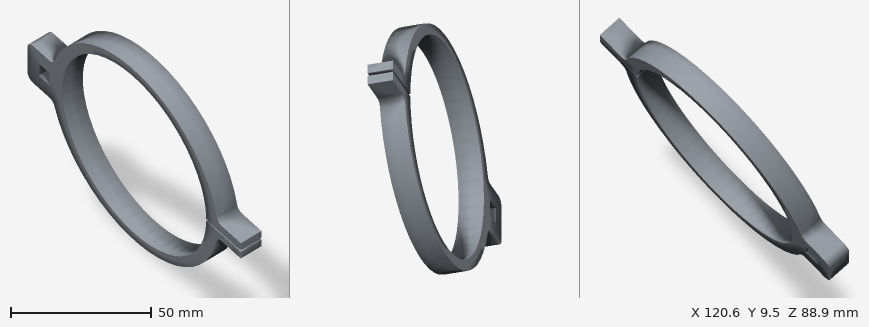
import cadquery as cq

length = 120.6
width = 9.5
ring_height = 88.9
arc_center_offset = 3.0
inner_radius = 40.8
block_height = 19.3
block_corner_radius = 3.0
block_root_radius = 3.0
hole_size = 6.3
hole_center_x = -50.9
tabs_height = 8.0
tab_root_radius = 3.0
slit_height = 1.1

end_x = length / 2
outer_arc_radius = ring_height / 2 + arc_center_offset


def plate(x_start, x_end, height):
    """Plate centred on Y and Z, spanning the given X range."""
    return cq.Workplane("XY").box(x_end - x_start, width, height).translate(((x_start + x_end) / 2, 0, 0))


def cylinder(radius):
    """Cylinder along Y through the ring centre."""
    return cq.Workplane("XZ").circle(radius).extrude(width / 2, both=True)


def root_edges(body, side, height):
    """Concave edges where a plate of this height meets the ring; side is -1 or 1."""
    root_x = side * (outer_arc_radius**2 - (height / 2 + arc_center_offset) ** 2) ** 0.5
    reach = 0.1
    selector = cq.selectors.BoxSelector(
        (root_x - reach, -width, -height), (root_x + reach, width, height)
    )
    return body.edges("|Y").edges(selector)


block = plate(-end_x, 0, block_height).edges("|Y and <X").fillet(block_corner_radius)
tabs = plate(0, end_x, tabs_height)

upper_arc = cylinder(outer_arc_radius).translate((0, 0, -arc_center_offset))
lower_arc = cylinder(outer_arc_radius).translate((0, 0, arc_center_offset))
body = upper_arc.intersect(lower_arc).union(block).union(tabs)
body = root_edges(body, -1, block_height).fillet(block_root_radius)
body = root_edges(body, 1, tabs_height).fillet(tab_root_radius)

body = body.cut(cylinder(inner_radius))
half_hole = hole_size / 2
body = body.cut(plate(hole_center_x - half_hole, hole_center_x + half_hole, hole_size))
result = body.cut(plate(0, end_x, slit_height))